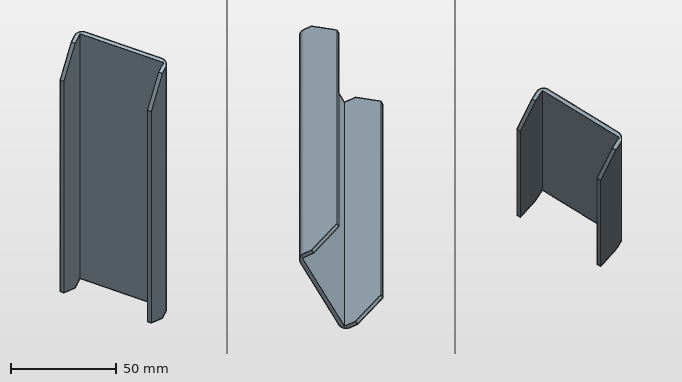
import cadquery as cq

width = 47.0
depth = 21.5
length = 200.0

sheet = 2.0
outer_bend_radius = 4.0

corner_cut = 13.5


def solid_bar():
    """Full outer envelope with rounded back edges; the back is at +Y."""
    return (
        cq.Workplane("XY")
        .box(width, depth, length)
        .edges("|Z and >Y")
        .fillet(outer_bend_radius)
    )


def channel_space():
    """Space between the flanges, open toward -Y, with sharp inner corners."""
    return (
        cq.Workplane("XY")
        .box(width - 2 * sheet, depth, length)
        .translate((0, -sheet, 0))
    )


channel = solid_bar().cut(channel_space())

front = -depth / 2
for end in (1, -1):
    end_z = end * length / 2
    corner = (
        cq.Workplane("YZ")
        .polyline([
            (front, end_z),
            (front + corner_cut, end_z),
            (front, end_z - end * corner_cut),
        ])
        .close()
        .extrude(width / 2, both=True)
    )
    channel = channel.cut(corner)

result = channel